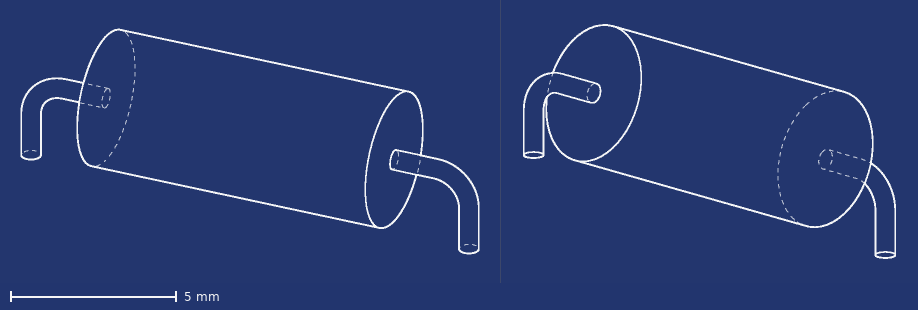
import cadquery as cq

overall_length = 15.09
overall_height = 4.6

body_diameter = 4.21
body_length = 9.54

wire_diameter = 0.6
bend_radius = 1.09

body_end_x = body_length / 2
leg_x = overall_length / 2 - wire_diameter / 2
bend_start_x = leg_x - bend_radius
lead_tip_z = body_diameter / 2 - overall_height


def make_body():
    """Plain cylinder lying along X."""
    return (
        cq.Workplane("YZ")
        .workplane(offset=-body_end_x)
        .circle(body_diameter / 2)
        .extrude(body_length)
    )


def make_lead(side):
    """Wire leaving the body end face and bending down; side is +1 or -1 along X."""
    path = (
        cq.Workplane("XZ")
        .moveTo(side * body_end_x, 0)
        .lineTo(side * bend_start_x, 0)
        .tangentArcPoint((side * leg_x, -bend_radius), relative=False)
        .lineTo(side * leg_x, lead_tip_z)
    )
    return (
        cq.Workplane("YZ")
        .workplane(offset=side * body_end_x)
        .circle(wire_diameter / 2)
        .sweep(path)
    )


body = make_body()
leads = [make_lead(side) for side in (-1, 1)]

result = cq.Compound.makeCompound([body.val(), *[lead.val() for lead in leads]])